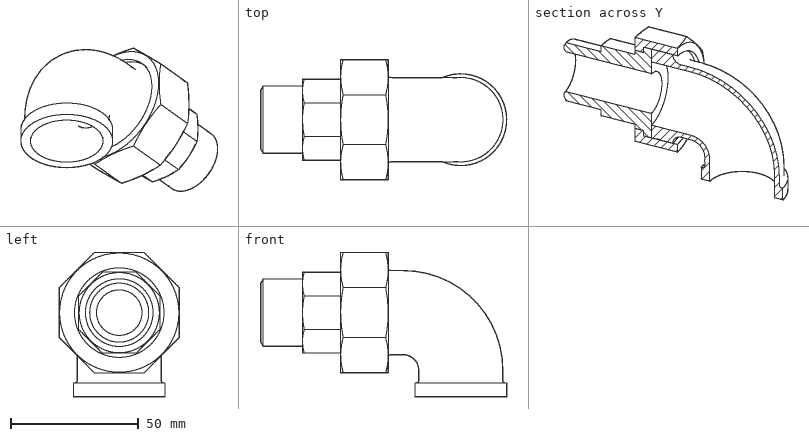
import cadquery as cq
import math

length = 96.2
height = 56.5

nut_across_flats = 47.0
nut_start = 31.2
nut_end = 49.9
nut_wall_end = 35.0
nut_opening_diameter = 35.0
thread_diameter = 39.8
octagon_chamfer_slope = 0.5
flat_clearance = 0.2

male_diameter = 26.5
male_tip_diameter = 23.1
male_tip_length = 1.0
mouth_round = 1.395
tail_bore_diameter = 17.8
tail_octagon_start = 16.3
tail_across_flats = 31.7
flange_thickness = 3.5
seat = nut_wall_end + flange_thickness

elbow_diameter = 33.0
elbow_bore_diameter = 28.4
bend_start = 55.7
thread_end_round_start = 51.4
collar_diameter = 36.0
collar_height = 5.5
collar_fillet = 0.9
outlet_x = length - collar_diameter / 2
bend_radius = outlet_x - bend_start
outlet_depth = height - nut_across_flats / 2
collar_top = collar_height - outlet_depth


def rod(diameter, start, end):
    """Round bar along X between two stations."""
    return cq.Workplane("YZ", origin=(start, 0, 0)).circle(diameter / 2).extrude(end - start)


def octagon(across_flats, start, end, chamfer_end):
    """Octagonal bar along X with conically chamfered corners at its start, optionally at its end."""
    corner_radius = across_flats / 2 / math.cos(math.pi / 8)
    chamfer_radius = across_flats / 2 - flat_clearance
    chamfer_length = (corner_radius - chamfer_radius) * octagon_chamfer_slope
    prism = (
        cq.Workplane("YZ", origin=(start, 0, 0))
        .polygon(8, 2 * corner_radius)
        .extrude(end - start)
        .rotate((0, 0, 0), (1, 0, 0), 180 / 8)
    )
    profile = (
        cq.Workplane("XZ")
        .moveTo(start, 0)
        .lineTo(start, chamfer_radius)
        .lineTo(start + chamfer_length, corner_radius)
    )
    if chamfer_end:
        profile = profile.lineTo(end - chamfer_length, corner_radius).lineTo(end, chamfer_radius)
    else:
        profile = profile.lineTo(end, corner_radius)
    envelope = profile.lineTo(end, 0).close().revolve(360, (0, 0, 0), (1, 0, 0))
    return prism.intersect(envelope)


def make_nut():
    body = octagon(nut_across_flats, nut_start, nut_end, chamfer_end=True)
    opening = rod(nut_opening_diameter, nut_start, nut_end)
    thread_bore = rod(thread_diameter, nut_wall_end, nut_end)
    return body.cut(opening).cut(thread_bore)


def make_tailpiece():
    tip_taper = (male_diameter - male_tip_diameter) / 2
    male_end = (
        rod(male_diameter, 0, tail_octagon_start)
        .faces("<X")
        .chamfer(male_tip_length, tip_taper)
    )
    grip = octagon(tail_across_flats, tail_octagon_start, nut_start, chamfer_end=False)
    neck = rod(nut_opening_diameter, nut_start, nut_wall_end)
    flange = rod(thread_diameter, nut_wall_end, seat)
    body = male_end.union(grip).union(neck).union(flange)
    bored = body.cut(rod(tail_bore_diameter, 0, seat))
    return bored.faces("<X").edges("%CIRCLE").edges(cq.selectors.RadiusNthSelector(0)).fillet(mouth_round)


def bent_bar(diameter, start):
    """Round bar along X that turns down through a quarter bend to the outlet face."""
    straight = rod(diameter, start, bend_start)
    bend = (
        cq.Workplane("YZ", origin=(bend_start, 0, 0))
        .circle(diameter / 2)
        .revolve(90, (0, -bend_radius, 0), (1, -bend_radius, 0))
    )
    drop = (
        cq.Workplane("XY", origin=(outlet_x, 0, -outlet_depth))
        .circle(diameter / 2)
        .extrude(outlet_depth - bend_radius)
    )
    return straight.union(bend).union(drop)


def make_threaded_end():
    """Elbow end inside the nut, with a concave round down to the pipe diameter."""
    pipe_radius = elbow_diameter / 2
    thread_radius = thread_diameter / 2
    round_radius = thread_radius - pipe_radius
    round_start = thread_end_round_start - round_radius
    diagonal = round_radius * math.sqrt(0.5)
    round_middle = (thread_end_round_start - diagonal, thread_radius - diagonal)
    return (
        cq.Workplane("XZ")
        .moveTo(seat, 0)
        .lineTo(seat, thread_radius)
        .lineTo(round_start, thread_radius)
        .threePointArc(round_middle, (thread_end_round_start, pipe_radius))
        .lineTo(thread_end_round_start, 0)
        .close()
        .revolve(360, (0, 0, 0), (1, 0, 0))
    )


def make_collar():
    """Outlet collar with a concave fillet onto the pipe above it."""
    pipe_radius = elbow_diameter / 2
    collar_radius = collar_diameter / 2
    diagonal = collar_fillet * (1 - math.sqrt(0.5))
    return (
        cq.Workplane("XZ", origin=(outlet_x, 0, 0))
        .moveTo(0, -outlet_depth)
        .lineTo(collar_radius, -outlet_depth)
        .lineTo(collar_radius, collar_top)
        .lineTo(pipe_radius + collar_fillet, collar_top)
        .threePointArc(
            (pipe_radius + diagonal, collar_top + diagonal),
            (pipe_radius, collar_top + collar_fillet),
        )
        .lineTo(0, collar_top + collar_fillet)
        .close()
        .revolve(360, (0, 0, 0), (0, 1, 0))
    )


def make_elbow():
    outside = bent_bar(elbow_diameter, seat).union(make_threaded_end()).union(make_collar())
    return outside.cut(bent_bar(elbow_bore_diameter, seat))


nut = make_nut()
tailpiece = make_tailpiece()
elbow = make_elbow()

result = cq.Compound.makeCompound([nut.val(), tailpiece.val(), elbow.val()])